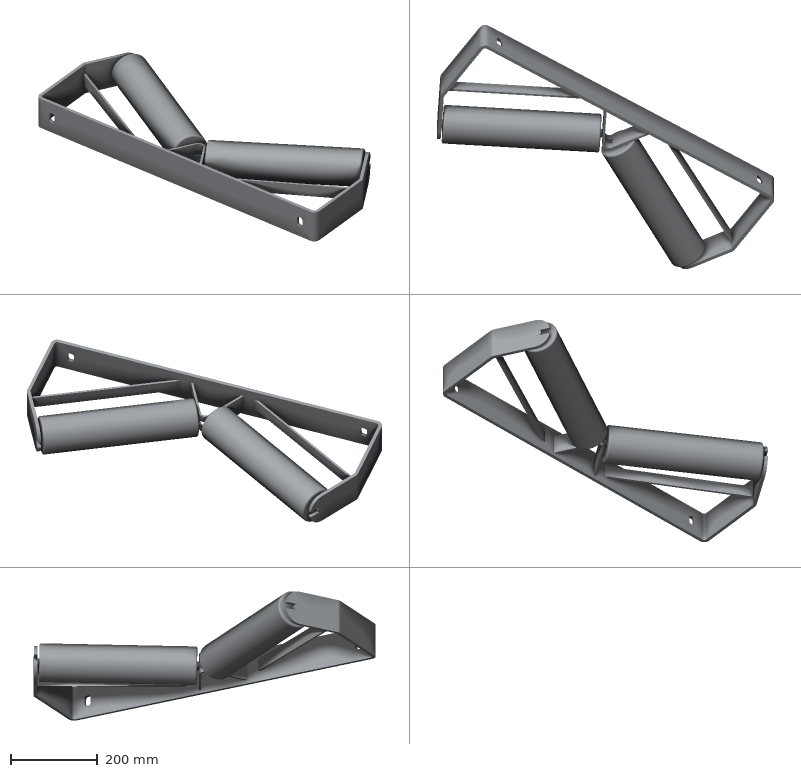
import cadquery as cq
import math


FRAME_WIDTH = 810.0
STRIP_HEIGHT = 80.0
STRIP_THICKNESS = 8.0
BEND_RADIUS = 15.0
SIDE_TOP = 176.0
FLANGE_LENGTH = 137.0
FLANGE_CORNER_RADIUS = 35.0

MOUNT_SLOT_SPACING = 718.0
MOUNT_SLOT_WIDTH = 16.0
MOUNT_SLOT_HEIGHT = 25.0
MOUNT_SLOT_CORNER = 6.0

TROUGH_ANGLE = 30.0
TILT_ANGLE = 1.0
ROLLER_DIAMETER = 89.2
ROLLER_LENGTH = 364.0
ROLLER_EDGE_RADIUS = 4.0
ROLLER_GAP = 4.0
AXIS_BELOW_TIP = 31.0
SHAFT_DIAMETER = 20.0
SHAFT_FLAT_WIDTH = 15.0

BRACKET_THICKNESS = 5.0
BRACKET_HEIGHT = 50.0
BRACKET_BEND_RADIUS = 17.0
BRACKET_FOOT_HALF_SPAN = 64.5

STAY_THICKNESS = 5.0
STAY_HEIGHT = 30.0
STAY_TOP_Y = 178.0
STAY_FOOT_X = 92.0

LEAN = math.radians(TROUGH_ANGLE)
TILT = math.radians(TILT_ANGLE)
HALF_WIDTH = FRAME_WIDTH / 2
INNER_RADIUS = BEND_RADIUS - STRIP_THICKNESS

UP_FLANGE = cq.Vector(math.sin(LEAN), math.cos(LEAN), 0)
INWARD = cq.Vector(math.cos(LEAN), -math.sin(LEAN), 0)

BEND_CENTER = cq.Vector(BEND_RADIUS - HALF_WIDTH, SIDE_TOP, 0)
FLANGE_START = BEND_CENTER - INWARD * BEND_RADIUS
FLANGE_TIP = FLANGE_START + UP_FLANGE * FLANGE_LENGTH

ROLLER_END = FLANGE_TIP - UP_FLANGE * AXIS_BELOW_TIP + INWARD * (STRIP_THICKNESS + ROLLER_GAP)

ROLLER_AXIS = INWARD * math.cos(TILT) - cq.Vector(0, 0, math.sin(TILT))
ROLLER_PLANE = cq.Plane(origin=ROLLER_END, xDir=UP_FLANGE, normal=ROLLER_AXIS)

BRACKET_CENTER_Z = -ROLLER_LENGTH * math.sin(TILT)

FOOT_EDGE = cq.Vector(-BRACKET_FOOT_HALF_SPAN, STRIP_THICKNESS, 0)
BRACKET_FACE = (FOOT_EDGE - ROLLER_END).dot(INWARD)
SHAFT_OUTER_END = -(ROLLER_GAP + STRIP_THICKNESS)
SHAFT_INNER_END = BRACKET_FACE + BRACKET_THICKNESS


def mirrored(body):
    """The matching body on the other side of X = 0."""
    return body.mirror("YZ")


def extruded(profile, height):
    """Extrude an XY outline symmetrically about Z = 0."""
    return profile.close().extrude(height / 2, both=True)


def shaft_section(start, length, slot_reach=0.0):
    """Round bar with two flats; slot_reach lengthens it up the flange into an open slot."""
    workplane = cq.Workplane(ROLLER_PLANE).workplane(offset=start)
    flat_x = math.sqrt(SHAFT_DIAMETER**2 - SHAFT_FLAT_WIDTH**2) / 2
    half_flat = SHAFT_FLAT_WIDTH / 2
    return (
        workplane.moveTo(-flat_x, -half_flat)
        .lineTo(flat_x + slot_reach, -half_flat)
        .threePointArc((SHAFT_DIAMETER / 2 + slot_reach, 0), (flat_x + slot_reach, half_flat))
        .lineTo(-flat_x, half_flat)
        .threePointArc((-SHAFT_DIAMETER / 2, 0), (-flat_x, -half_flat))
        .close()
        .extrude(length)
    )


def mount_slots():
    return (
        cq.Workplane("XZ")
        .pushPoints([(-MOUNT_SLOT_SPACING / 2, 0), (MOUNT_SLOT_SPACING / 2, 0)])
        .rect(MOUNT_SLOT_WIDTH, MOUNT_SLOT_HEIGHT)
        .extrude(-STRIP_THICKNESS)
        .edges("|Y")
        .fillet(MOUNT_SLOT_CORNER)
    )


def half_frame():
    """Left half of the base, the upright side and the leaning flange."""
    bisector = cq.Vector(-math.cos(LEAN / 2), math.sin(LEAN / 2), 0)
    corner = cq.Vector(BEND_RADIUS - HALF_WIDTH, BEND_RADIUS, 0)
    diagonal = cq.Vector(-math.sqrt(0.5), -math.sqrt(0.5), 0)

    def at(point):
        return (point.x, point.y)

    profile = (
        cq.Workplane("XY")
        .moveTo(0, 0)
        .lineTo(corner.x, 0)
        .threePointArc(at(corner + diagonal * BEND_RADIUS), (-HALF_WIDTH, corner.y))
        .lineTo(-HALF_WIDTH, SIDE_TOP)
        .threePointArc(at(BEND_CENTER + bisector * BEND_RADIUS), at(FLANGE_START))
        .lineTo(*at(FLANGE_TIP))
        .lineTo(*at(FLANGE_TIP + INWARD * STRIP_THICKNESS))
        .lineTo(*at(FLANGE_START + INWARD * STRIP_THICKNESS))
        .threePointArc(
            at(BEND_CENTER + bisector * INNER_RADIUS),
            (STRIP_THICKNESS - HALF_WIDTH, SIDE_TOP),
        )
        .lineTo(STRIP_THICKNESS - HALF_WIDTH, corner.y)
        .threePointArc(at(corner + diagonal * INNER_RADIUS), (corner.x, STRIP_THICKNESS))
        .lineTo(0, STRIP_THICKNESS)
    )
    tip_middle = FLANGE_TIP + INWARD * (STRIP_THICKNESS / 2)
    half = extruded(profile, STRIP_HEIGHT)
    tip_face = cq.selectors.NearestToPointSelector(tip_middle.toTuple())
    half = half.faces(tip_face).edges("#Z").fillet(FLANGE_CORNER_RADIUS)
    slot_start = SHAFT_OUTER_END - STRIP_THICKNESS
    slot = shaft_section(slot_start, -slot_start, 2 * AXIS_BELOW_TIP)
    return half.cut(slot)


def frame():
    half = half_frame()
    return half.union(mirrored(half)).cut(mount_slots())


def bracket():
    """Inverted V with a rounded apex and one slot open across the apex."""
    apex = STRIP_THICKNESS + BRACKET_FOOT_HALF_SPAN / math.tan(LEAN)
    bend_y = apex - BRACKET_BEND_RADIUS / math.sin(LEAN)
    inner_radius = BRACKET_BEND_RADIUS - BRACKET_THICKNESS
    foot_inner = BRACKET_FOOT_HALF_SPAN - BRACKET_THICKNESS / math.cos(LEAN)

    def tangent(radius, side):
        return (side * radius * math.cos(LEAN), bend_y + radius * math.sin(LEAN))

    profile = (
        cq.Workplane("XY")
        .moveTo(-BRACKET_FOOT_HALF_SPAN, STRIP_THICKNESS)
        .lineTo(*tangent(BRACKET_BEND_RADIUS, -1))
        .threePointArc((0, bend_y + BRACKET_BEND_RADIUS), tangent(BRACKET_BEND_RADIUS, 1))
        .lineTo(BRACKET_FOOT_HALF_SPAN, STRIP_THICKNESS)
        .lineTo(foot_inner, STRIP_THICKNESS)
        .lineTo(*tangent(inner_radius, 1))
        .threePointArc((0, bend_y + inner_radius), tangent(inner_radius, -1))
        .lineTo(-foot_inner, STRIP_THICKNESS)
    )
    body = extruded(profile, BRACKET_HEIGHT).translate((0, 0, BRACKET_CENTER_Z))
    slot = shaft_section(ROLLER_LENGTH, BRACKET_FOOT_HALF_SPAN / 2, BRACKET_FOOT_HALF_SPAN)
    return body.cut(slot).cut(mirrored(slot))


def roller():
    """Left roller together with its shaft."""
    tube = (
        cq.Workplane(ROLLER_PLANE)
        .circle(ROLLER_DIAMETER / 2)
        .extrude(ROLLER_LENGTH)
        .edges()
        .fillet(ROLLER_EDGE_RADIUS)
    )
    return tube.union(shaft_section(SHAFT_OUTER_END, SHAFT_INNER_END - SHAFT_OUTER_END))


def stay():
    """Left flat bar from the upper bend of the side down to the base."""
    top_x = STRIP_THICKNESS - HALF_WIDTH
    run = -STAY_FOOT_X - top_x
    rise = STAY_TOP_Y - STRIP_THICKNESS
    slope = math.atan2(rise, run)
    profile = (
        cq.Workplane("XY")
        .moveTo(top_x, STAY_TOP_Y)
        .lineTo(-STAY_FOOT_X, STRIP_THICKNESS)
        .lineTo(-STAY_FOOT_X - STAY_THICKNESS / math.sin(slope), STRIP_THICKNESS)
        .lineTo(top_x, STAY_TOP_Y - STAY_THICKNESS / math.cos(slope))
    )
    return extruded(profile, STAY_HEIGHT).cut(half_frame())


bodies = [frame().val(), bracket().val()]
for left_body in (roller(), stay()):
    for body in (left_body, mirrored(left_body)):
        bodies.append(body.val())

result = cq.Compound.makeCompound(bodies)